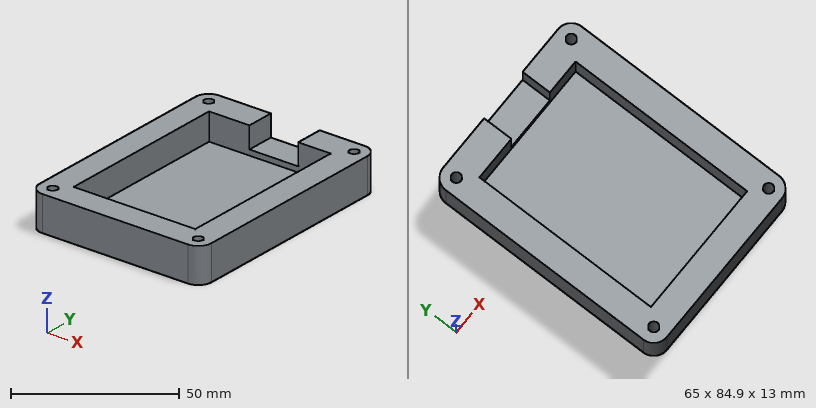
import cadquery as cq

width = 65.0
length = 84.9
height = 13.0
corner_radius = 5.0

pocket_width = 46.0
pocket_length = 65.0
pocket_depth = 10.0
left_wall = 9.3
front_wall = 9.5

notch_width = 18.4
notch_depth = 8.0
notch_offset = 15.3
notch_left = left_wall + notch_offset

hole_diameter = 3.4
hole_spacing_x = width - 2 * corner_radius
hole_spacing_y = length - 2 * corner_radius


def cutter_from_top(left, front, size_x, size_y, depth):
    """Box reaching down from the top face, placed from the body's left front corner."""
    corner = (left - width / 2, front - length / 2, height - depth)
    return cq.Workplane("XY").box(size_x, size_y, depth, centered=False).translate(corner)


body = (
    cq.Workplane("XY")
    .box(width, length, height, centered=(True, True, False))
    .edges("|Z")
    .fillet(corner_radius)
)

pocket = cutter_from_top(left_wall, front_wall, pocket_width, pocket_length, pocket_depth)

pocket_back = front_wall + pocket_length
notch = cutter_from_top(notch_left, pocket_back, notch_width, length - pocket_back, notch_depth)

result = (
    body.cut(pocket)
    .cut(notch)
    .faces(">Z")
    .workplane(origin=(0, 0, height))
    .rect(hole_spacing_x, hole_spacing_y, forConstruction=True)
    .vertices()
    .hole(hole_diameter)
)